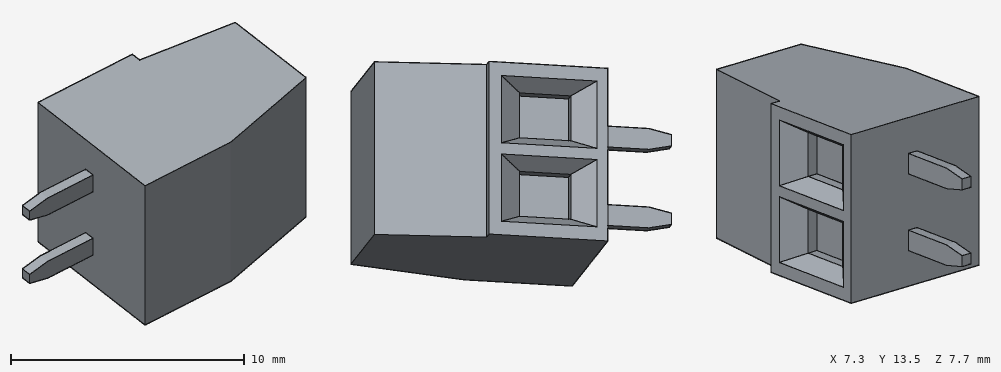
import cadquery as cq

total_length = 13.5
body_width = 7.3
body_height = 7.7
pin_length = 3.5
body_length = total_length - pin_length
ledge_depth = 0.5
ledge_length = 5.21
crown_left = 1.1
crown_right = 5.93
right_wall_length = 4.74

pitch = 3.5
pole_heights = [body_height / 2 - pitch / 2, body_height / 2 + pitch / 2]

entry_center_y = 2.58
entry_length = 4.18
entry_height = 3.0
pocket_length = 2.24
pocket_height = 2.0
funnel_depth = 0.8
pocket_depth = 0.5

pin_center_x = 3.51
pin_thickness = 0.5
pin_width = 0.93
pin_tip_width = 0.5
pin_taper_length = 1.0


def make_housing():
    outline = [
        (0, 0),
        (body_width, 0),
        (body_width, right_wall_length),
        (crown_right, body_length),
        (crown_left, body_length),
        (ledge_depth, ledge_length),
        (0, ledge_length),
    ]
    return cq.Workplane("XY").polyline(outline).close().extrude(body_height)


def make_wire_entry(height):
    mouth = cq.Workplane("YZ").center(entry_center_y, height).rect(entry_length, entry_height)
    funnel = mouth.workplane(offset=funnel_depth).rect(pocket_length, pocket_height).loft(ruled=True)
    throat = cq.Workplane("YZ", origin=(funnel_depth, entry_center_y, height))
    pocket = throat.rect(pocket_length, pocket_height).extrude(pocket_depth)
    return funnel.union(pocket)


def make_pin(height):
    taper_start = pin_taper_length - pin_length
    half_width = pin_width / 2
    half_tip = pin_tip_width / 2
    blade = [
        (0, height - half_width),
        (taper_start, height - half_width),
        (-pin_length, height - half_tip),
        (-pin_length, height + half_tip),
        (taper_start, height + half_width),
        (0, height + half_width),
    ]
    pin = cq.Workplane("YZ").polyline(blade).close().extrude(pin_thickness)
    return pin.translate((pin_center_x - pin_thickness / 2, 0, 0))


result = make_housing()
for pole_height in pole_heights:
    result = result.cut(make_wire_entry(pole_height))
    result = result.union(make_pin(pole_height))